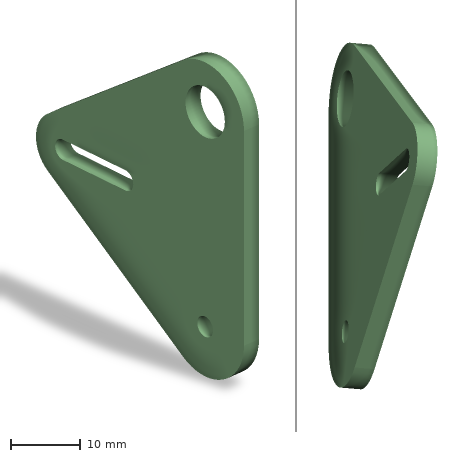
import cadquery as cq
import math

thickness = 3.0
wall = 4.0
large_hole_diameter = 8.2
small_hole_diameter = 3.3
slot_width = 3.3
slot_travel = 13.0
hole_spacing = 35.0
overall_length = 43.4

right_radius = large_hole_diameter / 2 + wall
left_radius = slot_width / 2 + wall
hole_x = overall_length - left_radius - right_radius
half_spacing = hole_spacing / 2

centre_distance = math.hypot(hole_x, half_spacing)
centre_line_angle = math.atan2(half_spacing, hole_x)
taper_angle = math.asin((right_radius - left_radius) / centre_distance)
normal_angle = math.pi / 2 + centre_line_angle + taper_angle


def arc_point(centre_x, centre_z, radius, angle):
    """Point on a circle at the given angle from +X."""
    return centre_x + radius * math.cos(angle), centre_z + radius * math.sin(angle)


def make_plate():
    """Triangular plate with tangent rounded corners, from Y = 0 to Y = thickness.

    The origin is the centre of the left corner arc.
    """
    upper_mid_angle = normal_angle / 2
    right_x = hole_x + right_radius
    return (
        cq.Workplane("XZ")
        .moveTo(*arc_point(0, 0, left_radius, -normal_angle))
        .threePointArc((-left_radius, 0), arc_point(0, 0, left_radius, normal_angle))
        .lineTo(*arc_point(hole_x, half_spacing, right_radius, normal_angle))
        .threePointArc(
            arc_point(hole_x, half_spacing, right_radius, upper_mid_angle),
            (right_x, half_spacing),
        )
        .lineTo(right_x, -half_spacing)
        .threePointArc(
            arc_point(hole_x, -half_spacing, right_radius, -upper_mid_angle),
            arc_point(hole_x, -half_spacing, right_radius, -normal_angle),
        )
        .close()
        .extrude(-thickness)
    )


def hole_cutter(centre_z, diameter):
    """Through-hole cylinder on the right-hand hole line."""
    return (
        cq.Workplane("XZ")
        .center(hole_x, centre_z)
        .circle(diameter / 2)
        .extrude(-thickness)
    )


def slot_cutter():
    """Horizontal through slot whose left end is concentric with the left corner."""
    return (
        cq.Workplane("XZ")
        .center(slot_travel / 2, 0)
        .slot2D(slot_travel + slot_width, slot_width)
        .extrude(-thickness)
    )


result = (
    make_plate()
    .cut(hole_cutter(half_spacing, large_hole_diameter))
    .cut(hole_cutter(-half_spacing, small_hole_diameter))
    .cut(slot_cutter())
)